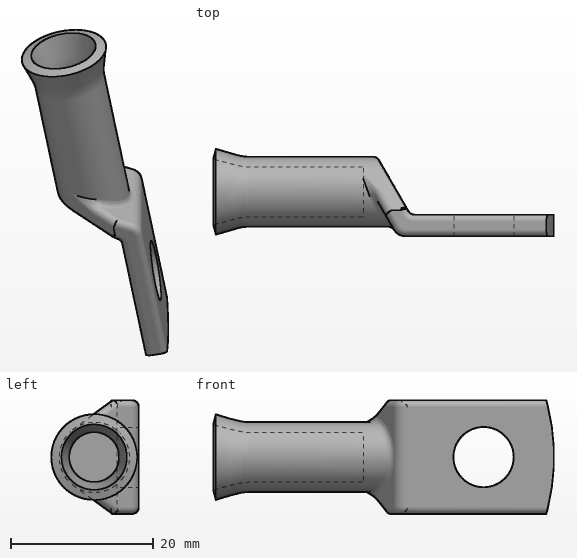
import cadquery as cq
import math

total_length = 47.9
palm_width = 16.0
palm_thickness = 3.05
palm_front = -6.27
palm_back = palm_front + palm_thickness
half_width = palm_width / 2

barrel_radius = 4.95
bore_radius = 3.5
bore_depth = 21.08
mouth_radius = 6.05
mouth_bore_radius = 4.6
mouth_lip = 0.4
flare_end = 3.35
flare_blend_end = 5.0
flare_step = 0.25

neck_angle = math.radians(60)
neck_back_at_axis = 25.85
shoulder_y = -2.6
bend_inner_radius = 1.05
bend_outer_radius = 1.9
edge_round = 0.95

hole_radius = 4.2
hole_x = 38.0
tip_sagitta = 1.1


def neck_back_x(y):
    """X of the neck's back face at height y."""
    return neck_back_at_axis - y / math.tan(neck_angle)


def neck_front_x(y):
    """X of the neck's front face, one sheet thickness before the back face."""
    return neck_back_x(y) - palm_thickness / math.sin(neck_angle)


def make_barrel():
    """Solid barrel with its flared mouth, cut off along the neck's back face."""
    barrel = (
        cq.Workplane("XY")
        .lineTo(0, mouth_bore_radius)
        .lineTo(mouth_lip, mouth_radius)
        .lineTo(flare_end, barrel_radius + flare_step)
        .tangentArcPoint((flare_blend_end, barrel_radius), relative=False)
        .lineTo(total_length, barrel_radius)
        .lineTo(total_length, 0)
        .close()
        .revolve(360, (0, 0, 0), (1, 0, 0))
    )
    limit = mouth_radius + 0.5
    keep = (
        cq.Workplane("XY")
        .polyline([(0, -limit), (neck_back_x(-limit), -limit), (neck_back_x(limit), limit), (0, limit)])
        .close()
        .extrude(limit, both=True)
    )
    return barrel.intersect(keep)


def box_around(x, y):
    """Selector for the edge that crosses the XY plane at (x, y)."""
    reach = 0.5
    return cq.selectors.BoxSelector((x - reach, y - reach, -reach), (x + reach, y + reach, reach))


def make_sheet():
    """Bent sheet: inclined neck and palm, tapering tangentially onto the barrel."""
    top = barrel_radius
    bent = (
        cq.Workplane("XY")
        .polyline([
            (neck_front_x(top), top),
            (neck_front_x(palm_front), palm_front),
            (total_length, palm_front),
            (total_length, palm_back),
            (neck_back_x(palm_back), palm_back),
            (neck_back_x(top), top),
        ])
        .close()
        .extrude(half_width, both=True)
    )
    bent = bent.edges(box_around(neck_back_x(palm_back), palm_back)).fillet(bend_inner_radius)
    bent = bent.edges(box_around(neck_front_x(palm_front), palm_front)).fillet(bend_outer_radius)

    corner_angle = math.atan2(half_width, shoulder_y)
    tangent_angle = corner_angle - math.acos(barrel_radius / math.hypot(half_width, shoulder_y))
    tangent_y = barrel_radius * math.cos(tangent_angle)
    tangent_z = barrel_radius * math.sin(tangent_angle)
    outline = (
        cq.Workplane("YZ")
        .moveTo(palm_front, -half_width)
        .lineTo(shoulder_y, -half_width)
        .lineTo(tangent_y, -tangent_z)
        .threePointArc((barrel_radius, 0), (tangent_y, tangent_z))
        .lineTo(shoulder_y, half_width)
        .lineTo(palm_front, half_width)
        .close()
        .extrude(total_length)
    )
    return bent.intersect(outline).intersect(make_palm_tip())


def make_palm_tip():
    """Slab that bounds the palm's width and its arched far end."""
    return (
        cq.Workplane("XZ")
        .moveTo(0, -half_width)
        .lineTo(total_length - tip_sagitta, -half_width)
        .threePointArc((total_length, 0), (total_length - tip_sagitta, half_width))
        .lineTo(0, half_width)
        .close()
        .extrude(total_length, both=True)
    )


def make_bore():
    """Blind bore with a conical lead-in."""
    return (
        cq.Workplane("XY")
        .lineTo(0, mouth_bore_radius)
        .lineTo(flare_end, bore_radius + flare_step)
        .tangentArcPoint((flare_blend_end, bore_radius), relative=False)
        .lineTo(bore_depth, bore_radius)
        .lineTo(bore_depth, 0)
        .close()
        .revolve(360, (0, 0, 0), (1, 0, 0))
    )


def sheet_edges(body, face_x, palm_y):
    """Edges around the neck face at face_x and along the palm face at palm_y, without the bend line."""
    tolerance = 0.01

    def borders_sheet(edge):
        middle = edge.positionAt(0.5)
        on_face = abs(middle.x - face_x(middle.y)) < tolerance
        is_bend_line = edge.geomType() == "LINE" and abs(middle.z) < tolerance
        along_palm = (
            abs(middle.y - palm_y) < tolerance
            and abs(abs(middle.z) - half_width) < tolerance
            and abs(edge.tangentAt(0.5).x) > 1 - tolerance
        )
        return along_palm or (on_face and not is_bend_line)

    return body.edges().filter(borders_sheet)


body = make_barrel().union(make_sheet())
body = sheet_edges(body, neck_front_x, palm_front).fillet(edge_round)
body = sheet_edges(body, neck_back_x, palm_back).fillet(edge_round)

hole = cq.Workplane("XZ", origin=(hole_x, 0, 0)).circle(hole_radius).extrude(total_length, both=True)
result = body.cut(make_bore()).cut(hole)